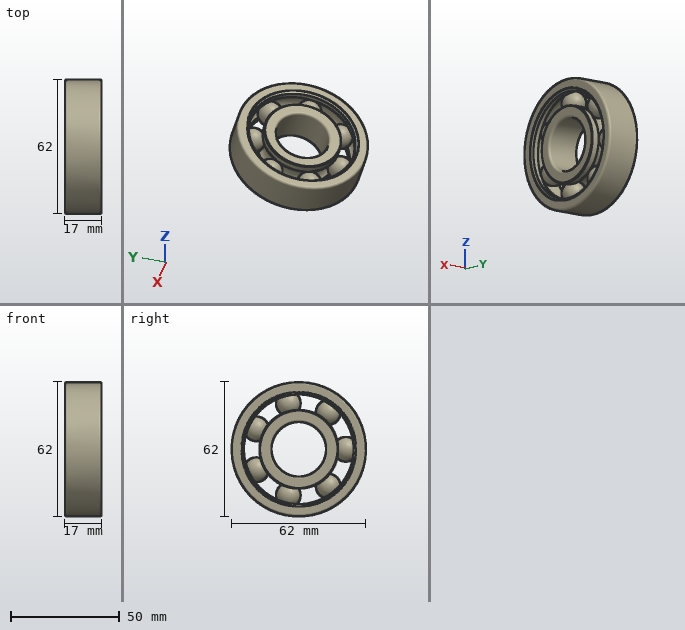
import cadquery as cq
import math

outer_radius = 31.0
bore_radius = 12.5
width = 17.0
half_width = width / 2
corner_fillet = 1.1

ball_count = 7
ball_radius = 5.75
pitch_radius = 21.7

shoulder_offset = 3.55
outer_shoulder_radius = pitch_radius + shoulder_offset
inner_shoulder_radius = pitch_radius - shoulder_offset
raceway_half_width = math.sqrt(ball_radius**2 - shoulder_offset**2)

lip_radius = 26.3
lip_thickness = 0.25
groove_width = 0.8
floor_slope_depth = 0.2
groove_end_depth = lip_thickness + groove_width
floor_depth = groove_end_depth + floor_slope_depth
floor_height = lip_radius - outer_shoulder_radius
groove_tangent_angle = math.atan2(floor_height, floor_slope_depth)
groove_bulge = groove_width / 2 * math.tan(groove_tangent_angle / 2)

shoulder_chamfer = 0.3


def revolve_about_x(profile):
    """Turn a closed profile, drawn as (x, radius), about the bearing axis."""
    return profile.close().revolve(360, (0, 0, 0), (1, 0, 0))


def make_outer_ring():
    lip_x = half_width - lip_thickness
    groove_end_x = half_width - groove_end_depth
    floor_x = half_width - floor_depth
    groove_bottom = ((lip_x + groove_end_x) / 2, lip_radius + groove_bulge)
    profile = (
        cq.Workplane("XZ")
        .moveTo(-half_width, outer_radius)
        .lineTo(-half_width, lip_radius)
        .lineTo(-lip_x, lip_radius)
        .threePointArc((-groove_bottom[0], groove_bottom[1]), (-groove_end_x, lip_radius))
        .lineTo(-floor_x, outer_shoulder_radius)
        .lineTo(-raceway_half_width, outer_shoulder_radius)
        .threePointArc((0, pitch_radius + ball_radius), (raceway_half_width, outer_shoulder_radius))
        .lineTo(floor_x, outer_shoulder_radius)
        .lineTo(groove_end_x, lip_radius)
        .threePointArc(groove_bottom, (lip_x, lip_radius))
        .lineTo(half_width, lip_radius)
        .lineTo(half_width, outer_radius)
    )
    outside_edges = cq.selectors.RadiusNthSelector(-1)
    return revolve_about_x(profile).edges("<X or >X").edges(outside_edges).fillet(corner_fillet)


def make_inner_ring():
    chamfer_x = half_width - shoulder_chamfer
    face_radius = inner_shoulder_radius - shoulder_chamfer
    profile = (
        cq.Workplane("XZ")
        .moveTo(-half_width, bore_radius)
        .lineTo(-half_width, face_radius)
        .lineTo(-chamfer_x, inner_shoulder_radius)
        .lineTo(-raceway_half_width, inner_shoulder_radius)
        .threePointArc((0, pitch_radius - ball_radius), (raceway_half_width, inner_shoulder_radius))
        .lineTo(chamfer_x, inner_shoulder_radius)
        .lineTo(half_width, face_radius)
        .lineTo(half_width, bore_radius)
    )
    bore_edges = cq.selectors.RadiusNthSelector(0)
    return revolve_about_x(profile).edges("<X or >X").edges(bore_edges).fillet(corner_fillet)


def make_ball(index):
    """One ball on the pitch circle; the first lies on the +Y side."""
    angle = 2 * math.pi * index / ball_count
    center = (0, pitch_radius * math.cos(angle), pitch_radius * math.sin(angle))
    return cq.Workplane("XY").sphere(ball_radius).translate(center)


outer_ring = make_outer_ring()
inner_ring = make_inner_ring()
balls = [make_ball(index) for index in range(ball_count)]

result = cq.Compound.makeCompound(
    [outer_ring.val(), inner_ring.val(), *[ball.val() for ball in balls]]
)